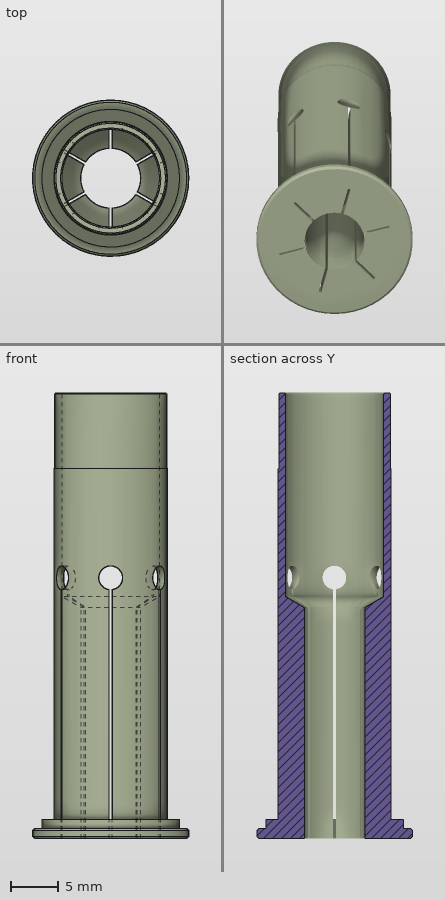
import math

import cadquery as cq

total_height = 47.0
flange_diameter = 16.5
collar_diameter = 14.5
body_diameter = 12.0
neck_diameter = 11.85
bore_diameter = 10.3
mouth_diameter = 6.3

flange_top = 1.1
collar_top = 2.0
taper_top = 25.5
taper_angle = 30.0
relief_height = 27.5
neck_bottom = 39.0

flange_chamfer = 0.25
rim_chamfer = 0.15

slot_count = 6
slot_width = 0.3
relief_diameter = 2.5


def cylinder(diameter, bottom, top):
    """Solid cylinder on the Z axis between two heights."""
    return cq.Workplane("XY").workplane(offset=bottom).circle(diameter / 2).extrude(top - bottom)


def outer_shape():
    """Stepped outside: chamfered flange, collar, body and reduced neck."""
    flange = cylinder(flange_diameter, 0, flange_top).edges().chamfer(flange_chamfer)
    collar = cylinder(collar_diameter, 0, collar_top)
    body = cylinder(body_diameter, 0, neck_bottom)
    neck = cylinder(neck_diameter, 0, total_height).faces(">Z").edges().chamfer(rim_chamfer)
    return flange.union(collar).union(body).union(neck)


def bore():
    """Wide upper bore with a flared rim, tapering to a narrow bore through the bottom."""
    bore_radius = bore_diameter / 2
    mouth_radius = mouth_diameter / 2
    taper_height = (bore_radius - mouth_radius) * math.tan(math.radians(taper_angle))
    return (
        cq.Workplane("XZ")
        .lineTo(mouth_radius, 0)
        .lineTo(mouth_radius, taper_top - taper_height)
        .lineTo(bore_radius, taper_top)
        .lineTo(bore_radius, total_height - rim_chamfer)
        .lineTo(bore_radius + rim_chamfer, total_height)
        .lineTo(0, total_height)
        .close()
        .revolve(360, (0, 0, 0), (0, 1, 0))
    )


def slot_cutter():
    """Six radial slots, each ending in a round relief hole, kept inside the body diameter."""
    reach = body_diameter / 2
    slot = cq.Workplane("XY").box(slot_width, reach, relief_height, centered=(True, False, False))
    relief = (
        cq.Workplane("XZ")
        .center(0, relief_height)
        .circle(relief_diameter / 2)
        .extrude(-reach)
    )
    single = slot.union(relief)
    cutter = single
    for index in range(1, slot_count):
        cutter = cutter.union(single.rotate((0, 0, 0), (0, 0, 1), index * 360 / slot_count))
    return cutter.intersect(cylinder(body_diameter, 0, neck_bottom))


result = outer_shape().cut(bore()).cut(slot_cutter())